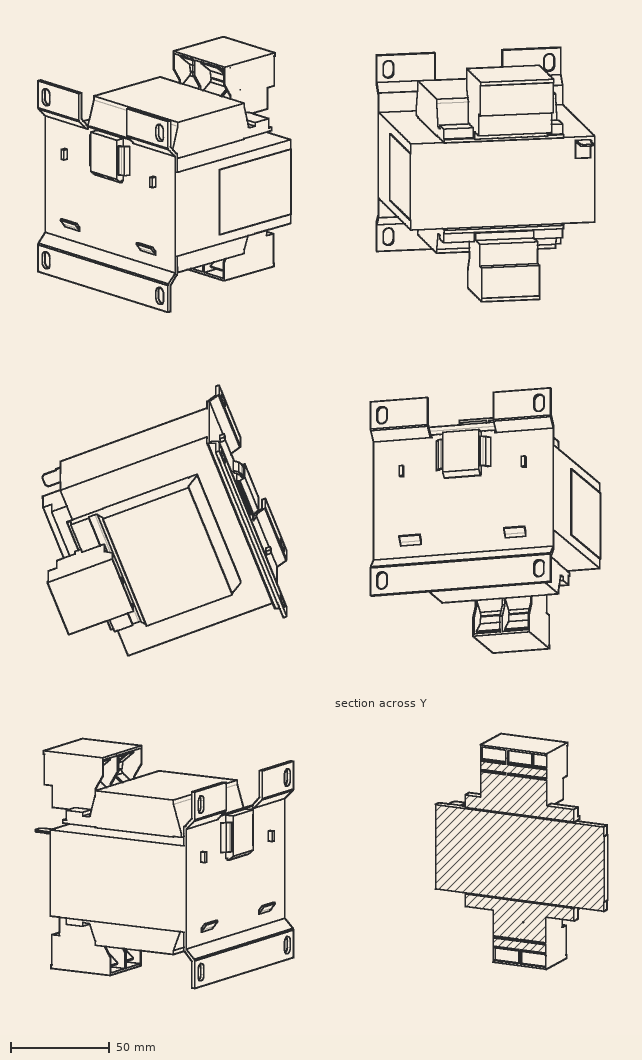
import cadquery as cq
import math


core_width = 95.7
core_height = 44.8
core_rear = 86.7

web_front = 5.3
web_thickness = 1.4
web_rear = web_front + web_thickness
flange_thickness = 1.9
bend_z = 31.1
flange_start_z = 36.2
joggle_bevel = 0.8
plate_height = 101.9
window_width = 35.2
tab_width = 33.3
tab_top = 32.4
web_edge = 0.5
slot_width = 5.5
slot_length = 8.9
slot_x = 41.8
slot_z = 43.5

former_width = 61.9
former_front = 18.5
former_rear = 89.5
core_gap = 0.3
foot_z = 24.4
ridge_front = 23.3
ridge_rear = 70.1
upper_ridge_z = 41.6
lower_ridge_z = 38.6
ridge_edge = 2.0
shelf_z = 29.6
shelf_rear = 87.5

pole_width = 15.1
wide_pole_width = 22.8
terminal_top = 57.1
terminal_rear = 106.4
terminal_front = 71.0
terminal_foot_front = 75.4
mouth_back = 83.7
mouth_bottom = 37.1
strip_back = 82.9
pole_wall = 0.7
rib_height = 0.3
rib_width = 1.0
rib_x = 7.1
upper_terminal_x = -22.3
lower_terminal_x = -pole_width

latch_width = 19.2
latch_front = 0.7
latch_top = 32.1
ear_top = 28.8
ear_bottom = 13.5

lug_width = 1.8
lug_x = 32.5
lug_front = 2.9
lug_top = 16.9
lug_bottom = 11.6
hook_width = 11.0
hook_x = 27.9

tag_x = -41.6
tag_foot_width = 7.8
tag_blade_width = 6.7
tag_thickness = 0.9
tag_top = 20.7
tag_bottom = 11.3
tag_foot_thickness = 0.6
tag_shoulder_y = 90.0
tag_tip_y = 98.1
tag_chamfer = 1.3

label_thickness = 0.3
label_height = 34.7
label_front = 36.2


def box(x0, x1, y0, y1, z0, z1):
    return cq.Workplane("XY").box(x1 - x0, y1 - y0, z1 - z0, centered=False).translate((x0, y0, z0))


def side_prism(points, x0, x1):
    """Extrude a closed (y, z) outline from x0 to x1."""
    return cq.Workplane("YZ").polyline(points).close().extrude(x1 - x0).translate((x0, 0, 0))


def mirror_z(solid):
    return solid.mirror("XY")


def mounting_plate():
    half_width = core_width / 2
    half_height = plate_height / 2
    bend_shift = flange_thickness * math.tan(math.pi / 8)
    upper_front = [
        (web_front, bend_z),
        (joggle_bevel / 2, flange_start_z - joggle_bevel / 2),
        (0, flange_start_z + joggle_bevel / 2),
        (0, half_height),
    ]
    upper_rear = [
        (flange_thickness, half_height),
        (flange_thickness, flange_start_z + bend_shift),
        (web_rear - web_edge, tab_top),
        (web_rear, tab_top),
    ]
    upper = upper_front + upper_rear
    lower = [(y, -z) for y, z in reversed(upper)]
    plate = side_prism(upper + lower, -half_width, half_width)

    plate = plate.cut(box(-window_width / 2, window_width / 2, 0, web_rear, bend_z, half_height))
    plate = plate.union(box(-tab_width / 2, tab_width / 2, web_front, web_rear, bend_z, tab_top))

    slots = (
        cq.Workplane("XZ")
        .rect(2 * slot_x, 2 * slot_z, forConstruction=True)
        .vertices()
        .slot2D(slot_length, slot_width, 90)
        .extrude(-flange_thickness)
    )
    return plate.cut(slots)


def plate_details():
    """Snap latch with its two ears, locating lugs and bent hooks."""
    latch_outline = [
        (web_front, latch_top),
        (latch_front, latch_top),
        (latch_front, 11.2),
        (3.4, 8.8),
        (4.3, 8.8),
        (4.3, 9.6),
        (web_front, 9.6),
    ]
    details = side_prism(latch_outline, -latch_width / 2, latch_width / 2)

    ear_outline = [
        (latch_width / 2, 1.5),
        (10.2, 1.5),
        (11.4, 2.0),
        (12.7, 2.9),
        (14.5, web_front),
        (13.1, web_front),
        (11.8, 3.5),
        (10.8, 2.9),
        (latch_width / 2, 2.5),
    ]
    ear = cq.Workplane("XY").polyline(ear_outline).close().extrude(ear_top - ear_bottom)
    ear = ear.translate((0, 0, ear_bottom))

    hook_outline = [
        (web_front, -24.8),
        (4.0, -23.1),
        (2.0, -20.7),
        (2.5, -20.1),
        (3.1, -20.1),
        (web_front, -22.8),
    ]
    hook = side_prism(hook_outline, hook_x - hook_width / 2, hook_x + hook_width / 2)

    lug = box(lug_x - lug_width / 2, lug_x + lug_width / 2, lug_front, web_front, lug_bottom, lug_top)

    for detail in (ear, hook, lug):
        details = details.union(detail).union(detail.mirror("YZ"))
    return details


def coil_former(ridge_z):
    """Former above the core; the rear shelf carries the terminals."""
    core_top = core_height / 2
    flange_bottom = core_top + core_gap
    shelf_front = 77.7
    groove_z = 27.6
    groove_fillet = 1.4
    slope_foot_y = 73.0
    half_width = former_width / 2
    profile = (
        cq.Workplane("YZ")
        .moveTo(former_front, flange_bottom)
        .lineTo(former_front, foot_z)
        .lineTo(ridge_front, ridge_z - ridge_edge)
        .lineTo(ridge_front, ridge_z)
        .lineTo(ridge_rear, ridge_z)
        .lineTo(ridge_rear, ridge_z - ridge_edge)
        .lineTo(slope_foot_y, groove_z + groove_fillet)
        .radiusArc((slope_foot_y + groove_fillet, groove_z), -groove_fillet)
        .lineTo(shelf_front, groove_z)
        .lineTo(shelf_front, shelf_z)
        .lineTo(shelf_rear, shelf_z)
        .lineTo(shelf_rear, foot_z)
        .lineTo(former_rear, foot_z)
        .lineTo(former_rear, flange_bottom)
        .close()
    )
    former = profile.extrude(former_width).translate((-half_width, 0, 0))
    neck = box(-half_width, half_width, ridge_front, ridge_rear, core_top, flange_bottom)
    return former.union(neck)


def mouth_cut(x0, x1):
    """Wire mouth of one pole, less the bent clamping strip inside it."""
    mouth_outline = [
        (terminal_front, 55.8),
        (mouth_back, 55.8),
        (mouth_back, 49.6),
        (strip_back, 49.1),
        (strip_back, 43.5),
        (82.0, 41.8),
        (terminal_foot_front, mouth_bottom),
        (terminal_front, mouth_bottom),
    ]
    strip_outline = [
        (75.3, 53.5),
        (81.9, 47.8),
        (82.5, 44.0),
        (strip_back, 44.0),
        (strip_back, 48.4),
        (75.7, 54.1),
    ]
    return side_prism(mouth_outline, x0, x1).cut(side_prism(strip_outline, x0, x1))


def terminal_pole(x0, width):
    """One terminal pole above the core, open toward the front between two walls."""
    pole_outline = [
        (terminal_rear, terminal_top),
        (terminal_front, terminal_top),
        (terminal_front, 47.6),
        (terminal_foot_front, 40.7),
        (terminal_foot_front, shelf_z),
        (shelf_rear, shelf_z),
        (shelf_rear, foot_z),
        (91.4, foot_z),
        (91.4, 28.2),
        (101.3, 28.2),
        (101.3, 39.5),
        (106.0, 39.5),
        (106.0, 55.3),
        (terminal_rear, 55.3),
    ]
    pole = side_prism(pole_outline, x0, x0 + width)
    return pole.cut(mouth_cut(x0 + pole_wall, x0 + width - pole_wall))


def mouth_rib():
    """Narrow rib following the surfaces of the wide pole's mouth."""
    x0 = rib_x - rib_width / 2
    x1 = rib_x + rib_width / 2
    mouth = mouth_cut(x0, x1)
    return mouth.cut(mouth.translate((0, -rib_height, 0)))


def earth_tag():
    foot = box(
        tag_x - tag_foot_width / 2, tag_x + tag_foot_width / 2,
        core_rear, core_rear + tag_foot_thickness,
        tag_bottom, tag_top,
    )
    shoulder = box(
        tag_x - tag_foot_width / 2, tag_x + tag_foot_width / 2,
        core_rear, tag_shoulder_y,
        tag_top - tag_thickness, tag_top,
    )
    blade = box(
        tag_x - tag_blade_width / 2, tag_x + tag_blade_width / 2,
        core_rear, tag_tip_y,
        tag_top - tag_thickness, tag_top,
    )
    blade = blade.faces(">Y").edges("|Z").chamfer(tag_chamfer)
    return foot.union(shoulder).union(blade)


core = box(-core_width / 2, core_width / 2, web_rear, core_rear, -core_height / 2, core_height / 2)
label = box(
    core_width / 2, core_width / 2 + label_thickness,
    label_front, core_rear,
    -label_height / 2, label_height / 2,
)

wide_pole_x = upper_terminal_x + pole_width
parts = [
    mounting_plate(),
    plate_details(),
    label,
    coil_former(upper_ridge_z),
    mirror_z(coil_former(lower_ridge_z)),
    terminal_pole(upper_terminal_x, pole_width),
    terminal_pole(wide_pole_x, wide_pole_width),
    mouth_rib(),
    mirror_z(terminal_pole(lower_terminal_x, pole_width)),
    mirror_z(terminal_pole(lower_terminal_x + pole_width, pole_width)),
    earth_tag(),
]

result = core
for part in parts:
    result = result.union(part)